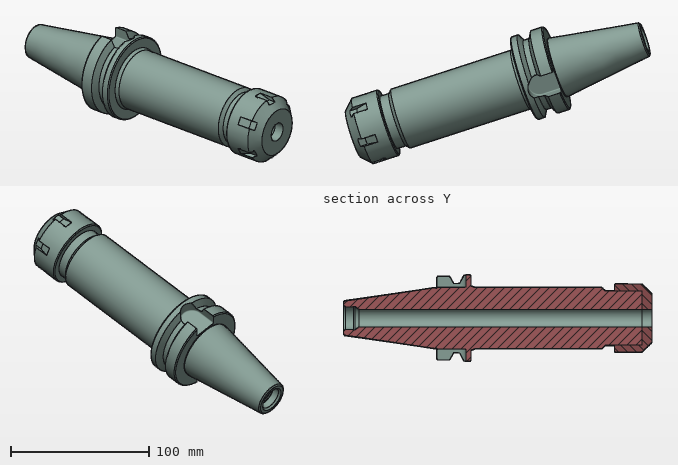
import cadquery as cq
import math


GAUGE_DIAMETER = 44.45
TAPER_RATIO = 7 / 24
TAPER_LENGTH = 65.4
TAPER_END_DIAMETER = 23.5
TAPER_CHAMFER_LENGTH = 0.9
GAUGE_LAND_LENGTH = 1.5
RELIEF_DIAMETER = 43.94

FLANGE_DIAMETER = 62.99
FLANGE_START = 2.0
FLANGE_END = 27.0
FLANGE_CHAMFER = 0.8
GROOVE_DIAMETER = 53.0
GROOVE_CENTRE = 16.6
GROOVE_FLOOR_WIDTH = 4.3
GROOVE_HALF_ANGLE = math.radians(30)

KEY_SLOT_WIDTH = 16.8
KEY_SLOT_FILLET = 0.8
KEY_SLOT_FLOOR = 22.5
KEY_SLOT_END = 23.8

BARREL_DIAMETER = 45.0
BARREL_ROOT_LENGTH = 2.8
BARREL_ROOT_HEIGHT = 1.0
BARREL_END = 121.5
NECK_DIAMETER = 40.0
NECK_CONE_LENGTH = (BARREL_DIAMETER - NECK_DIAMETER) / 2

BORE_DIAMETER = 13.84
PILOT_DIAMETER = 17.01
PILOT_MOUTH_DIAMETER = 18.92
PILOT_DEPTH = 8.5
PILOT_RELIEF_DIAMETER = 17.62
PILOT_RELIEF_LENGTH = 1.3
BORE_CONE_HALF_ANGLE = math.radians(30)

OVERALL_LENGTH = 223.39
NUT_DIAMETER = 50.0
NUT_START = 130.6
NUT_REAR_CHAMFER = 0.8
NUT_END = OVERALL_LENGTH - TAPER_LENGTH
NUT_CONE_LENGTH = 7.3
NUT_CONE_START = NUT_END - NUT_CONE_LENGTH

WRENCH_SLOT_COUNT = 6
WRENCH_SLOT_WIDTH = 6.0
WRENCH_SLOT_START = 140.2
WRENCH_RAMP_END = 148.3
WRENCH_SLOT_START_RADIUS = 24.75
WRENCH_FLOOR_RADIUS = 22.0


def revolve_about_x(points):
    """Revolve an (x, radius) outline about the X axis."""
    return cq.Workplane("XY").polyline(points).close().revolve(360, (0, 0, 0), (1, 0, 0))


def bore(start, end, diameter):
    return cq.Workplane("YZ", origin=(start, 0, 0)).circle(diameter / 2).extrude(end - start)


def make_holder_blank():
    chamfer_x = -TAPER_LENGTH + TAPER_CHAMFER_LENGTH
    chamfer_radius = (GAUGE_DIAMETER + chamfer_x * TAPER_RATIO) / 2
    flange_radius = FLANGE_DIAMETER / 2
    groove_radius = GROOVE_DIAMETER / 2
    groove_flank = (flange_radius - groove_radius) * math.tan(GROOVE_HALF_ANGLE)
    floor_start = GROOVE_CENTRE - GROOVE_FLOOR_WIDTH / 2
    floor_end = GROOVE_CENTRE + GROOVE_FLOOR_WIDTH / 2
    barrel_radius = BARREL_DIAMETER / 2
    return revolve_about_x([
        (-TAPER_LENGTH, 0),
        (-TAPER_LENGTH, TAPER_END_DIAMETER / 2),
        (chamfer_x, chamfer_radius),
        (0, GAUGE_DIAMETER / 2),
        (GAUGE_LAND_LENGTH, GAUGE_DIAMETER / 2),
        (GAUGE_LAND_LENGTH, RELIEF_DIAMETER / 2),
        (FLANGE_START, RELIEF_DIAMETER / 2),
        (FLANGE_START, flange_radius - FLANGE_CHAMFER),
        (FLANGE_START + FLANGE_CHAMFER, flange_radius),
        (floor_start - groove_flank, flange_radius),
        (floor_start, groove_radius),
        (floor_end, groove_radius),
        (floor_end + groove_flank, flange_radius),
        (FLANGE_END - FLANGE_CHAMFER, flange_radius),
        (FLANGE_END, flange_radius - FLANGE_CHAMFER),
        (FLANGE_END, barrel_radius + BARREL_ROOT_HEIGHT),
        (FLANGE_END + BARREL_ROOT_LENGTH, barrel_radius),
        (BARREL_END, barrel_radius),
        (BARREL_END + NECK_CONE_LENGTH, NECK_DIAMETER / 2),
        (NUT_CONE_START, NECK_DIAMETER / 2),
        (NUT_CONE_START, 0),
    ])


def make_key_slot():
    """Cutter for the drive key slot on the +Z side, with a half-round inner end."""
    end_radius = KEY_SLOT_WIDTH / 2
    arc_start = KEY_SLOT_END - end_radius
    return (
        cq.Workplane("XY", origin=(0, 0, KEY_SLOT_FLOOR))
        .moveTo(0, -end_radius)
        .lineTo(arc_start, -end_radius)
        .threePointArc((KEY_SLOT_END, 0), (arc_start, end_radius))
        .lineTo(0, end_radius)
        .close()
        .extrude(FLANGE_DIAMETER)
        .faces("<Z")
        .edges("not <X")
        .fillet(KEY_SLOT_FILLET)
    )


def cone_length(large_diameter, small_diameter):
    return (large_diameter - small_diameter) / 2 / math.tan(BORE_CONE_HALF_ANGLE)


def make_holder_bore():
    pilot_end = PILOT_DEPTH - TAPER_LENGTH
    relief_start = pilot_end - PILOT_RELIEF_LENGTH
    mouth_length = cone_length(PILOT_MOUTH_DIAMETER, PILOT_DIAMETER)
    lead_length = cone_length(PILOT_DIAMETER, BORE_DIAMETER)
    return revolve_about_x([
        (-TAPER_LENGTH, 0),
        (-TAPER_LENGTH, PILOT_MOUTH_DIAMETER / 2),
        (mouth_length - TAPER_LENGTH, PILOT_DIAMETER / 2),
        (relief_start, PILOT_DIAMETER / 2),
        (relief_start, PILOT_RELIEF_DIAMETER / 2),
        (pilot_end, PILOT_RELIEF_DIAMETER / 2),
        (pilot_end, PILOT_DIAMETER / 2),
        (pilot_end + lead_length, BORE_DIAMETER / 2),
        (NUT_CONE_START, BORE_DIAMETER / 2),
        (NUT_CONE_START, 0),
    ])


def make_holder():
    holder = make_holder_blank().cut(make_holder_bore())
    key_slot = make_key_slot()
    for angle in (0, 180):
        holder = holder.cut(key_slot.rotate((0, 0, 0), (1, 0, 0), angle))
    return holder


def make_wrench_slot():
    """Cutter for the wrench slot on the +Z side: a ramp down to a flat floor, open to the front."""
    return (
        cq.Workplane("XZ", origin=(0, WRENCH_SLOT_WIDTH / 2, 0))
        .moveTo(WRENCH_SLOT_START, NUT_DIAMETER)
        .lineTo(WRENCH_SLOT_START, WRENCH_SLOT_START_RADIUS)
        .lineTo(WRENCH_RAMP_END, WRENCH_FLOOR_RADIUS)
        .lineTo(NUT_END, WRENCH_FLOOR_RADIUS)
        .lineTo(NUT_END, NUT_DIAMETER)
        .close()
        .extrude(WRENCH_SLOT_WIDTH)
    )


def make_nut():
    nut_radius = NUT_DIAMETER / 2
    nut = revolve_about_x([
        (NUT_START, 0),
        (NUT_START, nut_radius - NUT_REAR_CHAMFER),
        (NUT_START + NUT_REAR_CHAMFER, nut_radius),
        (NUT_CONE_START, nut_radius),
        (NUT_END, nut_radius - NUT_CONE_LENGTH),
        (NUT_END, 0),
    ])
    nut = nut.cut(bore(NUT_START, NUT_CONE_START, NECK_DIAMETER))
    nut = nut.cut(bore(NUT_CONE_START, NUT_END, BORE_DIAMETER))
    wrench_slot = make_wrench_slot()
    for index in range(WRENCH_SLOT_COUNT):
        angle = index * 360 / WRENCH_SLOT_COUNT
        nut = nut.cut(wrench_slot.rotate((0, 0, 0), (1, 0, 0), angle))
    return nut


holder = make_holder()
nut = make_nut()
result = cq.Compound.makeCompound([holder.val(), nut.val()])